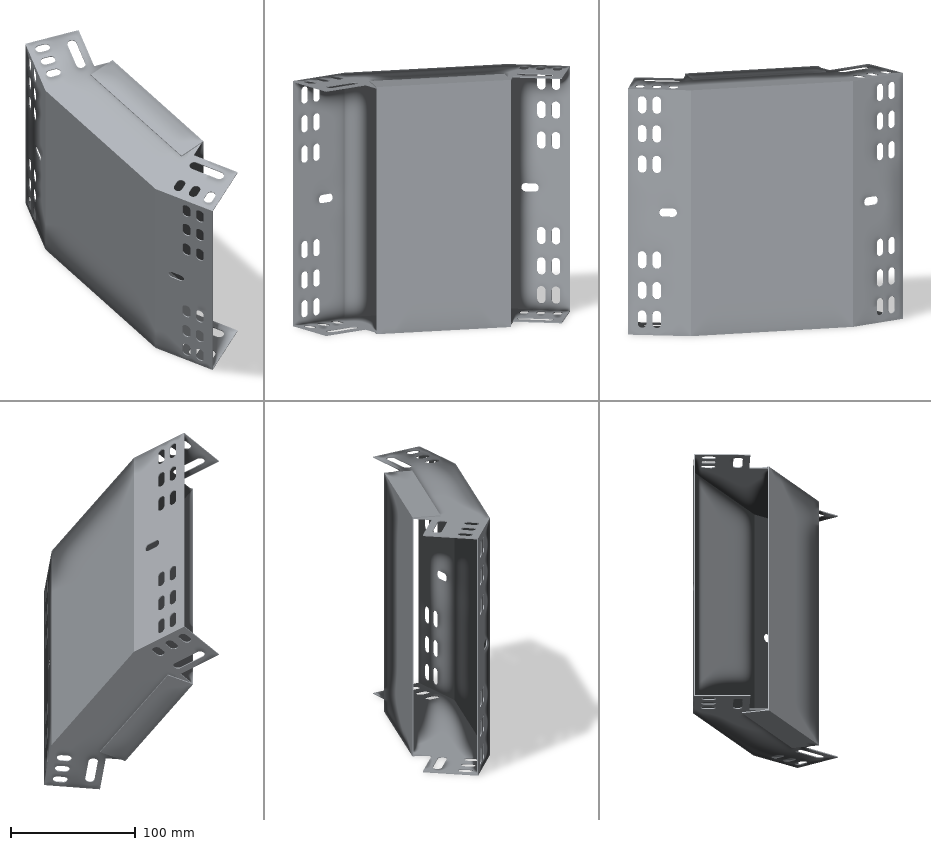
import cadquery as cq
import math

sheet = 0.8
overall_length = 229.2
overall_width = 203.0
overall_depth = 61.2
wing_angle = 22.5
web_half_length = 67.5
notch_edge = 39.5
cover_length = 111.2
cover_lip = 23.2
cover_gap = 0.2

web_slot_length = 14.2
web_slot_width = 6.9
web_slot_along = (11.5, 23.4)
web_slot_heights = (39.2, 64.2, 87.8)
middle_slot_along = 32.5

short_slot_length = 12.0
short_slot_width = 7.0
short_slot_along = (8.5, 22.0, 35.5)
short_slot_rise = 12.0
long_slot_length = 30.0
long_slot_width = 7.5
long_slot_along = 23.0
long_slot_rise = 35.5

cos_wing = math.cos(math.radians(wing_angle))
sin_wing = math.sin(math.radians(wing_angle))
half_length = overall_length / 2
wing_rise = (half_length - web_half_length) * sin_wing / cos_wing
wall_height = (overall_depth - wing_rise) / cos_wing
tray_width = overall_width - 2 * sheet
cover_back = overall_depth - cover_gap
wall_rim = cover_back - sheet
sides = (-1, 1)


def wing_point(along, rise):
    """XY of a point on the +X wing, given along it from its end and square to it."""
    x = half_length - along * cos_wing - rise * sin_wing
    y = wing_rise - along * sin_wing + rise * cos_wing
    return x, y


def symmetric_prism(right_side, width):
    """Prism along Z, centred, whose outline is right_side and its mirror image in X."""
    left_side = [(-x, y) for x, y in reversed(right_side)]
    return cq.Workplane("XY").polyline(right_side + left_side).close().extrude(width / 2, both=True)


def tray_blank():
    """Folded sheet: middle web, two sloping wings and two notched side walls."""
    notch_x, notch_y = wing_point(notch_edge, wall_height)
    rim_x = notch_x - (wall_rim - notch_y) * sin_wing / cos_wing
    outline = [
        (web_half_length, 0),
        (half_length, wing_rise),
        wing_point(0, wall_height),
        (notch_x, notch_y),
        (rim_x, wall_rim),
    ]
    inner_bend_x = web_half_length - sheet * math.tan(math.radians(wing_angle / 2))
    inside = [
        (inner_bend_x, sheet),
        wing_point(-sheet, sheet),
        (half_length + sheet, overall_depth + sheet),
    ]
    return symmetric_prism(outline, tray_width).cut(symmetric_prism(inside, tray_width - 2 * sheet))


def web_slot_cutters(side):
    """Slots through one wing web."""
    start_x, start_y = wing_point(0, 0)
    wing = cq.Plane(
        origin=(side * start_x, start_y, 0),
        xDir=(-side * cos_wing, -sin_wing, 0),
        normal=(-side * sin_wing, cos_wing, 0),
    )
    rows = [row_side * height for row_side in sides for height in web_slot_heights]
    crosswise = (
        cq.Workplane(wing)
        .pushPoints([(along, row) for along in web_slot_along for row in rows])
        .slot2D(web_slot_length, web_slot_width, angle=90)
        .extrude(sheet, both=True)
    )
    lengthwise = (
        cq.Workplane(wing)
        .center(middle_slot_along, 0)
        .slot2D(web_slot_length, web_slot_width)
        .extrude(sheet, both=True)
    )
    return crosswise, lengthwise


def wall_slot_cutters(side):
    """Slots through both side walls at one wing."""

    def cutter(along, rise, length, width, turn):
        x, y = wing_point(along, rise)
        return (
            cq.Workplane("XY")
            .center(side * x, y)
            .slot2D(length, width, side * turn)
            .extrude(tray_width, both=True)
        )

    cutters = [
        cutter(along, short_slot_rise, short_slot_length, short_slot_width, wing_angle + 90)
        for along in short_slot_along
    ]
    cutters.append(cutter(long_slot_along, long_slot_rise, long_slot_length, long_slot_width, wing_angle))
    return cutters


def make_tray():
    tray = tray_blank()
    for side in sides:
        for cutter in (*web_slot_cutters(side), *wall_slot_cutters(side)):
            tray = tray.cut(cutter)
    return tray


def make_cover():
    """Channel that closes the back, its lips lying on the outside of the side walls."""
    channel = (
        cq.Workplane("XY")
        .box(cover_length, cover_lip, overall_width)
        .translate((0, cover_back - cover_lip / 2, 0))
    )
    inside = (
        cq.Workplane("XY")
        .box(cover_length, cover_lip, tray_width)
        .translate((0, wall_rim - cover_lip / 2, 0))
    )
    return channel.cut(inside)


tray = make_tray()
cover = make_cover()
result = cq.Compound.makeCompound([tray.val(), cover.val()])